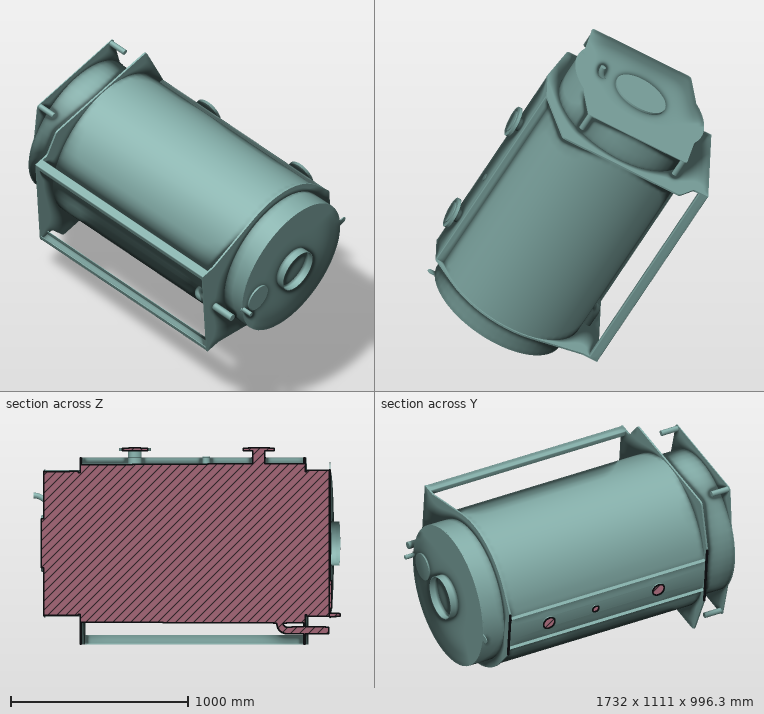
import cadquery as cq
import math

TILT = 3.0

DRUM_DIA = 900.0
DRUM_LENGTH = 1269.0
PLATE_THICK = 10.0
FRONT_X = -DRUM_LENGTH / 2
REAR_X = DRUM_LENGTH / 2

PLATE_HALF_HEIGHT = 460.0
FOOT_Y = -570.0
FOOT_HALF_HEIGHT = 333.0
FOOT_START_Y = -477.0
PLATE_FLAT_FOOT_Y = -390.0
PLATE_FLAT_PANEL_Y = 366.0
PANEL_Y = 485.0
PANEL_HALF_HEIGHT = 108.0
PLATE_CORNER_R = 25.0
REAR_ARC_R = 460.0

SHEET_THICK = 3.0
BEND_R = 6.0
RAIL_WIDTH = 55.0
RAIL_HEIGHT = 30.0

COLLAR_DIA = 827.0
NECK_RING_DIA = 811.0
NECK_RING_LENGTH = 6.0
COVER_THICK = 5.0
FRONT_COLLAR_LENGTH = 204.0
REAR_COLLAR_LENGTH = 136.0
FRONT_FACE_X = FRONT_X - FRONT_COLLAR_LENGTH
DOOR_INNER_X = REAR_X + REAR_COLLAR_LENGTH
DOOR_OUTER_X = DOOR_INNER_X + COVER_THICK

INSPECTION_DIA = 320.0
INSPECTION_THICK = 15.0
DRAIN_DIA = 32.0
DRAIN_START_Y = 247.0
DRAIN_BEND_R = 91.0
DRAIN_ANGLE = 42.0
DRAIN_BURIED_ANGLE = 15.0

COVER_RIM_DIA = 836.0
COVER_HALF_HEIGHT = 460.5
COVER_TOP_HALF_WIDTH = 319.0
COVER_MID_HALF_WIDTH = 395.0
COVER_CORNER_R = 20.0
PIN_DIA = 32.0
PIN_LENGTH = 110.0
PIN_Y = 300.0
PIN_Z = 440.0
PIN_PLACES = [(y, z) for y in (PIN_Y, -PIN_Y) for z in (PIN_Z, -PIN_Z)]

DOOR_DIA = COLLAR_DIA
LUG_R = 20.0
LUG_PANEL_Y = 439.0
HANDLE_Y = -403.0
HANDLE_DIA = 26.0
HANDLE_LENGTH = 58.0
BURNER_DIA = 250.0
BURNER_BORE = 244.0
BURNER_LENGTH = 50.0
PORT_DIA = 160.0
PORT_THICK = 10.0
PORT_Y = -288.0

NOZZLE_PITCH = 700.0
NOZZLE_MID_X = 23.0
NECK_DIA = 76.0
FLANGE_DIA = 180.0
FLANGE_THICK = 17.0
FLANGE_INNER_Y = 520.0
RAISED_DIA = 122.0
RAISED_THICK = 4.0
SOCKET_DIA = 42.0
SOCKET_HEIGHT = 5.0
SOCKET_X = 75.0

PIPE_DIA = 42.0
ELBOW_R = 38.0
PIPE_Y = -490.0
ELBOW_END_X = 530.0
PIPE_END_X = 769.0


def cylinder_x(diameter, x_start, x_end, y=0.0, z=0.0):
    """Cylinder along X between two X positions."""
    plane = cq.Workplane("YZ", origin=(x_start, y, z))
    return plane.circle(diameter / 2).extrude(x_end - x_start)


def cylinder_y(diameter, y_start, y_end, x):
    """Cylinder along Y, crossing the height of the drum axis."""
    plane = cq.Workplane("XZ", origin=(x, y_start, 0))
    return plane.circle(diameter / 2).extrude(y_start - y_end)


def front_end_plate():
    upper = [
        (PANEL_Y, PANEL_HALF_HEIGHT),
        (PLATE_FLAT_PANEL_Y, PLATE_HALF_HEIGHT),
        (PLATE_FLAT_FOOT_Y, PLATE_HALF_HEIGHT),
        (FOOT_START_Y, FOOT_HALF_HEIGHT),
        (FOOT_Y, FOOT_HALF_HEIGHT),
    ]
    lower = [(y, -z) for y, z in reversed(upper)]
    plate = cq.Workplane("YZ", origin=(FRONT_X, 0, 0)).polyline(upper + lower).close().extrude(PLATE_THICK)
    for y, z in upper[1:4]:
        for side in (1, -1):
            corner = cq.selectors.NearestToPointSelector((FRONT_X + PLATE_THICK / 2, y, side * z))
            plate = plate.edges("|X").edges(corner).fillet(PLATE_CORNER_R)
    return plate


def arc_point(angle):
    return (REAR_ARC_R * math.cos(angle), REAR_ARC_R * math.sin(angle))


def tangent_spread(y, z):
    """Angle at the drum axis between an outside point and where its tangent meets the rear arc."""
    return math.acos(REAR_ARC_R / math.hypot(y, z))


def rear_end_plate():
    """Plate whose straight edges run tangent from its four corners into an arc around the drum."""
    panel = (PANEL_Y, PANEL_HALF_HEIGHT)
    foot = (FOOT_START_Y, FOOT_HALF_HEIGHT)
    panel_angle = math.atan2(panel[1], panel[0]) + tangent_spread(*panel)
    foot_angle = math.atan2(foot[1], foot[0]) - tangent_spread(*foot)
    mid_angle = (panel_angle + foot_angle) / 2
    return (
        cq.Workplane("YZ", origin=(REAR_X - PLATE_THICK, 0, 0))
        .moveTo(*panel)
        .lineTo(*arc_point(panel_angle))
        .threePointArc(arc_point(mid_angle), arc_point(foot_angle))
        .lineTo(*foot)
        .lineTo(FOOT_Y, FOOT_HALF_HEIGHT)
        .lineTo(FOOT_Y, -FOOT_HALF_HEIGHT)
        .lineTo(foot[0], -foot[1])
        .lineTo(*arc_point(-foot_angle))
        .threePointArc(arc_point(-mid_angle), arc_point(-panel_angle))
        .lineTo(panel[0], -panel[1])
        .close()
        .extrude(PLATE_THICK)
    )


def rounded_bar(size_y, size_z, rounded_face, radius):
    """Bar along X between the end plates, with the long edges of one face rounded."""
    bar = cq.Workplane("XY").box(DRUM_LENGTH - 2 * PLATE_THICK, size_y, size_z)
    return bar.faces(rounded_face).edges("|X").fillet(radius)


def foot_rail(side):
    """U rail with its web flush with the plate edge above (1) or below (-1) and its flanges inward."""
    web_face = ">Z" if side > 0 else "<Z"
    outer = rounded_bar(RAIL_WIDTH, RAIL_HEIGHT, web_face, BEND_R)
    inner = rounded_bar(RAIL_WIDTH - 2 * SHEET_THICK, RAIL_HEIGHT, web_face, BEND_R - SHEET_THICK)
    rail = outer.cut(inner.translate((0, 0, -side * SHEET_THICK)))
    return rail.translate((0, FOOT_Y + RAIL_WIDTH / 2, side * (FOOT_HALF_HEIGHT - RAIL_HEIGHT / 2)))


def nozzle_panel():
    """Wide channel whose flanges run into the drum."""
    y_inner = math.sqrt((DRUM_DIA / 2) ** 2 - PANEL_HALF_HEIGHT ** 2) - SHEET_THICK
    depth = PANEL_Y - y_inner
    height = 2 * PANEL_HALF_HEIGHT
    outer = rounded_bar(depth, height, ">Y", BEND_R)
    inner = rounded_bar(depth, height - 2 * SHEET_THICK, ">Y", BEND_R - SHEET_THICK)
    panel = outer.cut(inner.translate((0, -SHEET_THICK, 0)))
    return panel.translate((0, PANEL_Y - depth / 2, 0))


def nozzle(x):
    flange_outer_y = FLANGE_INNER_Y + FLANGE_THICK
    neck = cylinder_y(NECK_DIA, 0, FLANGE_INNER_Y, x)
    flange = cylinder_y(FLANGE_DIA, FLANGE_INNER_Y, flange_outer_y, x)
    raised = cylinder_y(RAISED_DIA, flange_outer_y, flange_outer_y + RAISED_THICK, x)
    return neck.union(flange).union(raised)


def elbow_pipe():
    arc_start_y = PIPE_Y + ELBOW_R
    leg_x = ELBOW_END_X - ELBOW_R
    leg = cylinder_y(PIPE_DIA, 0, arc_start_y, leg_x)
    elbow = (
        cq.Workplane("XZ", origin=(leg_x, arc_start_y, 0))
        .circle(PIPE_DIA / 2)
        .revolve(90, (ELBOW_R, -1, 0), (ELBOW_R, 1, 0))
    )
    run = cylinder_x(PIPE_DIA, ELBOW_END_X, PIPE_END_X, PIPE_Y)
    return leg.union(elbow).union(run)


def drain_pipe():
    """Short bent pipe that leaves the front face at an angle and ends parallel to the drum axis."""
    angle = math.radians(DRAIN_ANGLE)
    end_x = FRONT_FACE_X - DRAIN_BEND_R * math.sin(angle)
    end_y = DRAIN_START_Y + DRAIN_BEND_R * (1 - math.cos(angle))
    return (
        cq.Workplane("YZ", origin=(end_x, end_y, 0))
        .circle(DRAIN_DIA / 2)
        .revolve(DRAIN_ANGLE + DRAIN_BURIED_ANGLE, (-DRAIN_BEND_R, 1, 0), (-DRAIN_BEND_R, -1, 0))
    )


def make_vessel():
    vessel = cylinder_x(DRUM_DIA, FRONT_X + PLATE_THICK / 2, REAR_X - PLATE_THICK / 2)
    parts = [
        front_end_plate(),
        rear_end_plate(),
        cylinder_x(NECK_RING_DIA, FRONT_X - NECK_RING_LENGTH, REAR_X + NECK_RING_LENGTH),
        cylinder_x(COLLAR_DIA, FRONT_FACE_X, FRONT_X - NECK_RING_LENGTH),
        cylinder_x(COLLAR_DIA, REAR_X + NECK_RING_LENGTH, DOOR_INNER_X),
        cylinder_x(INSPECTION_DIA, FRONT_FACE_X - INSPECTION_THICK, FRONT_FACE_X),
        drain_pipe(),
        foot_rail(1),
        foot_rail(-1),
        nozzle_panel(),
        nozzle(NOZZLE_MID_X - NOZZLE_PITCH / 2),
        nozzle(NOZZLE_MID_X + NOZZLE_PITCH / 2),
        cylinder_y(SOCKET_DIA, 0, PANEL_Y + SOCKET_HEIGHT, SOCKET_X),
        elbow_pipe(),
    ]
    for part in parts:
        vessel = vessel.union(part)
    return vessel


def make_front_pin(y, z):
    return cylinder_x(PIN_DIA, FRONT_FACE_X, FRONT_FACE_X + PIN_LENGTH, y, z)


def make_front_cover():
    corners = [
        (COVER_TOP_HALF_WIDTH, COVER_HALF_HEIGHT),
        (-COVER_TOP_HALF_WIDTH, COVER_HALF_HEIGHT),
        (-COVER_MID_HALF_WIDTH, 0),
        (-COVER_TOP_HALF_WIDTH, -COVER_HALF_HEIGHT),
        (COVER_TOP_HALF_WIDTH, -COVER_HALF_HEIGHT),
        (COVER_MID_HALF_WIDTH, 0),
    ]
    face = cq.Workplane("YZ", origin=(FRONT_FACE_X, 0, 0))
    cover = face.polyline(corners).close().extrude(COVER_THICK)
    cover = cover.edges("|X").edges(">Z or <Z").fillet(COVER_CORNER_R)
    back_x = FRONT_FACE_X + COVER_THICK
    cover = cover.union(cylinder_x(COVER_RIM_DIA, FRONT_FACE_X, back_x))
    cover = cover.cut(cylinder_x(COLLAR_DIA, FRONT_FACE_X, back_x))
    for y, z in PIN_PLACES:
        cover = cover.cut(make_front_pin(y, z))
    return cover


def make_rear_door():
    door = cylinder_x(DOOR_DIA, DOOR_INNER_X, DOOR_OUTER_X)
    web_mid = (DOOR_INNER_X + DOOR_OUTER_X) / 2
    for lug_y in (LUG_PANEL_Y, HANDLE_Y):
        web = cq.Workplane("XY").box(COVER_THICK, abs(lug_y), 2 * LUG_R).translate((web_mid, lug_y / 2, 0))
        door = door.union(web).union(cylinder_x(2 * LUG_R, DOOR_INNER_X, DOOR_OUTER_X, lug_y))
    burner_end = DOOR_OUTER_X + BURNER_LENGTH
    burner = cylinder_x(BURNER_DIA, DOOR_OUTER_X, burner_end)
    burner = burner.cut(cylinder_x(BURNER_BORE, DOOR_OUTER_X, burner_end))
    port = cylinder_x(PORT_DIA, DOOR_OUTER_X, DOOR_OUTER_X + PORT_THICK, PORT_Y)
    handle = cylinder_x(HANDLE_DIA, DOOR_OUTER_X, DOOR_OUTER_X + HANDLE_LENGTH, HANDLE_Y)
    return door.union(burner).union(port).union(handle)


def tilt(body):
    return body.rotate((0, 0, 0), (0, 1, 0), -TILT)


vessel = tilt(make_vessel())
front_cover = tilt(make_front_cover())
front_pins = [tilt(make_front_pin(y, z)) for y, z in PIN_PLACES]
rear_door = tilt(make_rear_door())

result = cq.Compound.makeCompound(
    [vessel.val(), front_cover.val(), *[pin.val() for pin in front_pins], rear_door.val()]
)